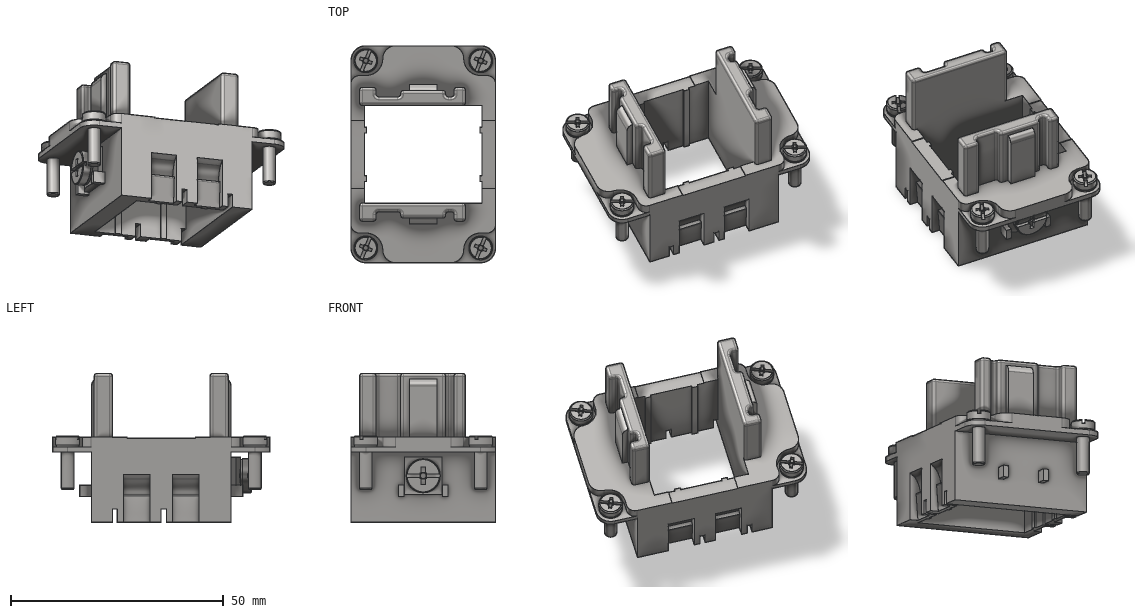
import cadquery as cq
import math

frame_width = 34.0
body_length = 32.8
frame_top = 20.0
opening_width = 27.6
opening_length = 22.9
side_x = frame_width / 2
body_y = body_length / 2
opening_x = opening_width / 2
opening_y = opening_length / 2

flange_length = 51.0
flange_corner_radius = 3.5
flange_bottom = 16.5
ledge_z = 17.7
flange_y = flange_length / 2
relief_x = 9.5
relief_y = 18.5
relief_end_radius = 3.0
relief_inner_radius = flange_y - relief_end_radius - relief_y
relief_side_radius = 2.0

strip_half_length = 8.0
strip_depth = 0.2
key_width = 1.4
key_depth = 0.5
key_centers_y = (5.7, -5.7)
pocket_width = 6.3
pocket_centers_y = (5.75, -5.75)
pocket_top = 11.2
pocket_slope_end = 10.2
pocket_slope_depth = 1.26
pocket_curve_radius = 6.0
pocket_depth = 2.6
shelf_z = 6.35
shelf_lip_height = 0.35
shelf_depth = 1.55
pocket_foot_depth = 2.0
notch_height = 3.1
notches_y = ((10.35, 11.45), (-1.2, 0.05))

guide_top = 35.0
guide_x = (-14.95, -11.1, -5.3, 5.25, 7.25, 9.9)
guide_leg_y = 15.75
guide_groove_y = 13.5
guide_pad_y = 15.0
guide_edge_radius = 0.7
guide_top_radius = 0.69
rib_width = 6.4
rib_top = 33.75
rib_radius = 1.7

screw_x = 13.5
screw_y = 22.0
shank_diameter = 3.0
shank_tip_diameter = 2.7
shank_tip_z = 7.75
shank_tip_length = 0.3
head_diameter = 5.6
head_top = 20.3
head_slot_angle = 68.0

terminal_z = 10.93
clamp_size = 8.8
clamp_edge_thickness = 1.2
clamp_crown = 1.04
terminal_head_diameter = 8.0
terminal_head_height = 2.56
terminal_shank_diameter = 4.0

post_inner_x = 4.5
post_outer_x = 5.8
post_bottom = 6.0
post_top = 8.75
post_y = 19.2


def box(x, y, z):
    """Box spanning the given (low, high) pairs along X, Y and Z."""
    size = [high - low for low, high in (x, y, z)]
    return cq.Workplane("XY").box(*size, centered=False).translate((x[0], y[0], z[0]))


def mirrored(shape, plane):
    """The shape together with its mirror image."""
    return shape.union(shape.mirror(plane))


def make_corner_relief():
    """Cutter for the +X +Y corner of the upper flange plate."""
    overshoot = 1.0
    diagonal = math.sqrt(0.5)
    inner_x = relief_x + relief_inner_radius
    end_x = relief_x - relief_end_radius
    end_y = flange_y - relief_end_radius
    side_round_x = side_x - relief_side_radius
    side_round_y = relief_y - relief_side_radius
    return (
        cq.Workplane("XY", origin=(0, 0, ledge_z))
        .moveTo(end_x, flange_y)
        .threePointArc(
            (end_x + relief_end_radius * diagonal, end_y + relief_end_radius * diagonal),
            (relief_x, end_y),
        )
        .threePointArc(
            (inner_x - relief_inner_radius * diagonal, end_y - relief_inner_radius * diagonal),
            (inner_x, relief_y),
        )
        .lineTo(side_round_x, relief_y)
        .threePointArc(
            (side_round_x + relief_side_radius * diagonal, side_round_y + relief_side_radius * diagonal),
            (side_x, side_round_y),
        )
        .lineTo(side_x + overshoot, side_round_y)
        .lineTo(side_x + overshoot, flange_y + overshoot)
        .lineTo(end_x, flange_y + overshoot)
        .close()
        .extrude(frame_top - ledge_z)
    )


def make_frame():
    """Rectangular frame with its flange, opening, keys and lowered marking strips."""
    body = box((-side_x, side_x), (-body_y, body_y), (0, frame_top))
    flange = box((-side_x, side_x), (-flange_y, flange_y), (flange_bottom, frame_top))
    flange = flange.edges("|Z").fillet(flange_corner_radius)
    flange = flange.cut(mirrored(mirrored(make_corner_relief(), "YZ"), "XZ"))
    opening = box((-opening_x, opening_x), (-opening_y, opening_y), (0, frame_top))
    frame = body.union(flange).cut(opening)
    for key_y in key_centers_y:
        key = box(
            (opening_x - key_depth, opening_x),
            (key_y - key_width / 2, key_y + key_width / 2),
            (0, frame_top),
        )
        frame = frame.union(mirrored(key, "YZ"))
    strip = box(
        (-side_x, side_x),
        (-strip_half_length, strip_half_length),
        (frame_top - strip_depth, frame_top),
    )
    return frame.cut(strip)


def make_pocket(center_y):
    """Cutter for a latch pocket in the -X wall, open at the bottom."""
    arc_center_x = pocket_depth - pocket_curve_radius
    mid_z = (shelf_z + pocket_slope_end) / 2
    mid_depth = arc_center_x + math.sqrt(pocket_curve_radius**2 - (mid_z - shelf_z) ** 2)
    return (
        cq.Workplane("XZ", origin=(-side_x, center_y, 0))
        .moveTo(0, 0)
        .lineTo(pocket_foot_depth, 0)
        .lineTo(shelf_depth, shelf_z - shelf_lip_height)
        .lineTo(shelf_depth, shelf_z)
        .lineTo(pocket_depth, shelf_z)
        .threePointArc((mid_depth, mid_z), (pocket_slope_depth, pocket_slope_end))
        .lineTo(0, pocket_top)
        .close()
        .extrude(pocket_width / 2, both=True)
    )


def cut_side_walls(frame):
    """Cut the latch pockets and the bottom notches in both side walls."""
    for center_y in pocket_centers_y:
        frame = frame.cut(mirrored(make_pocket(center_y), "YZ"))
    for notch_y in notches_y:
        frame = frame.cut(box((-side_x, side_x), notch_y, (0, notch_height)))
    return frame


def make_guide_wall():
    """Grooved guide wall on the +Y edge of the opening, with its central rib."""
    steps_y = (guide_leg_y, guide_groove_y, guide_pad_y, guide_groove_y, guide_leg_y)
    outline = [(guide_x[0], opening_y)]
    for step, step_y in enumerate(steps_y):
        outline.append((guide_x[step], step_y))
        outline.append((guide_x[step + 1], step_y))
    outline.append((guide_x[-1], opening_y))
    wall = (
        cq.Workplane("XY", origin=(0, 0, frame_top))
        .polyline(outline)
        .close()
        .extrude(guide_top - frame_top)
        .edges("|Z")
        .fillet(guide_edge_radius)
        .faces(">Z")
        .edges()
        .fillet(guide_top_radius)
    )
    rib = box((-rib_width / 2, rib_width / 2), (guide_groove_y, body_y), (frame_top, rib_top))
    return wall.union(rib.edges(">Y and >Z").fillet(rib_radius))


def make_head(
    diameter,
    height,
    rim_chamfer,
    slot_width,
    slot_depth,
    arm_width,
    arm_length,
    hub_diameter,
):
    """Screw head standing on z = 0 with a slot along X, short cross arms along Y and a tapered hub hole."""
    foot_step = 0.15
    foot_height = 0.5
    hub_extra_depth = 0.4
    hub_depth = slot_depth + hub_extra_depth
    hub_taper = 10.0
    foot = cq.Workplane("XY").circle(diameter / 2 - foot_step).extrude(foot_height)
    crown = cq.Workplane("XY", origin=(0, 0, foot_height)).circle(diameter / 2)
    crown = crown.extrude(height - foot_height).faces(">Z").chamfer(rim_chamfer)
    top = cq.Workplane("XY", origin=(0, 0, height))
    slot = top.rect(diameter, slot_width).extrude(-slot_depth)
    arms = top.rect(arm_width, arm_length).extrude(-slot_depth)
    hub = top.circle(hub_diameter / 2).extrude(-hub_depth, taper=hub_taper)
    return foot.union(crown).cut(slot).cut(arms).cut(hub)


def make_corner_screw():
    """Screw on the Z axis whose head rests on the flange ledge."""
    shank = (
        cq.Workplane("XY", origin=(0, 0, shank_tip_z))
        .circle(shank_diameter / 2)
        .extrude(ledge_z - shank_tip_z)
        .faces("<Z")
        .chamfer(shank_tip_length, (shank_diameter - shank_tip_diameter) / 2)
    )
    head = make_head(
        diameter=head_diameter,
        height=head_top - ledge_z,
        rim_chamfer=0.3,
        slot_width=0.75,
        slot_depth=0.9,
        arm_width=0.7,
        arm_length=3.0,
        hub_diameter=1.6,
    )
    head = head.rotate((0, 0, 0), (0, 0, 1), head_slot_angle)
    return shank.union(head.translate((0, 0, ledge_z)))


def make_terminal():
    """Earth terminal: a crowned clamp plate under a large screw head facing -Y."""
    half_clamp = clamp_size / 2
    edge_y = -body_y - clamp_edge_thickness
    crown_y = edge_y - clamp_crown
    clamp = (
        cq.Workplane("XY", origin=(0, 0, terminal_z - half_clamp))
        .moveTo(-half_clamp, -body_y)
        .lineTo(-half_clamp, edge_y)
        .threePointArc((0, crown_y), (half_clamp, edge_y))
        .lineTo(half_clamp, -body_y)
        .close()
        .extrude(clamp_size)
    )
    shank = cq.Workplane("XZ", origin=(0, -body_y, terminal_z)).circle(terminal_shank_diameter / 2)
    shank = shank.extrude(clamp_edge_thickness + clamp_crown)
    head = make_head(
        diameter=terminal_head_diameter,
        height=terminal_head_height,
        rim_chamfer=0.2,
        slot_width=0.84,
        slot_depth=0.85,
        arm_width=0.95,
        arm_length=4.2,
        hub_diameter=1.85,
    )
    head = head.rotate((0, 0, 0), (1, 0, 0), 90).translate((0, crown_y, terminal_z))
    return clamp.union(shank).union(head)


def make_posts():
    """Pairs of locating posts on both Y faces of the body."""
    post = box((post_inner_x, post_outer_x), (body_y, post_y), (post_bottom, post_top))
    return mirrored(mirrored(post, "YZ"), "XZ")


result = cut_side_walls(make_frame())
result = result.union(mirrored(make_guide_wall(), "XZ"))
for x_sign in (-1, 1):
    for y_sign in (-1, 1):
        result = result.union(make_corner_screw().translate((x_sign * screw_x, y_sign * screw_y, 0)))
result = result.union(make_terminal()).union(make_posts())